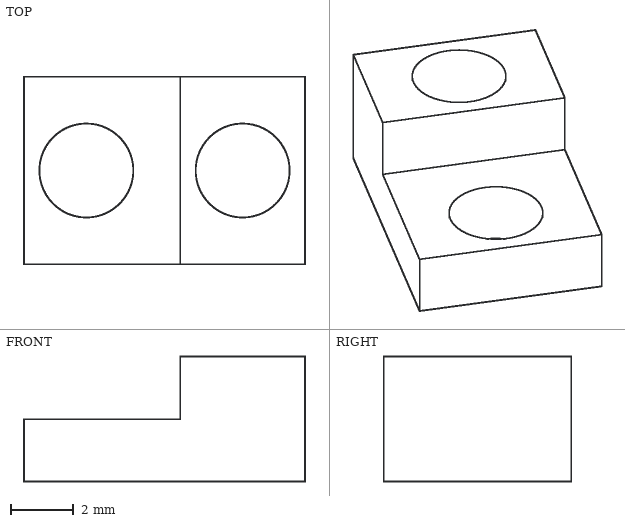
import cadquery as cq

length = 9.0
width = 6.0
low_height = 2.0
full_height = 4.0
step_x = 5.0

hole_diameter = 3.0
low_hole_x = 2.0
tall_hole_x = (step_x + length) / 2


def stepped_body():
    """L-shaped side profile extruded across the width, with one corner at the origin."""
    return (
        cq.Workplane("XZ")
        .polyline([
            (0, 0),
            (length, 0),
            (length, full_height),
            (step_x, full_height),
            (step_x, low_height),
            (0, low_height),
        ])
        .close()
        .extrude(-width)
    )


def vertical_holes():
    """One vertical cylinder through each level, on the centreline of the width."""
    centres = [(low_hole_x, width / 2), (tall_hole_x, width / 2)]
    return (
        cq.Workplane("XY")
        .pushPoints(centres)
        .circle(hole_diameter / 2)
        .extrude(full_height)
    )


result = stepped_body().cut(vertical_holes())